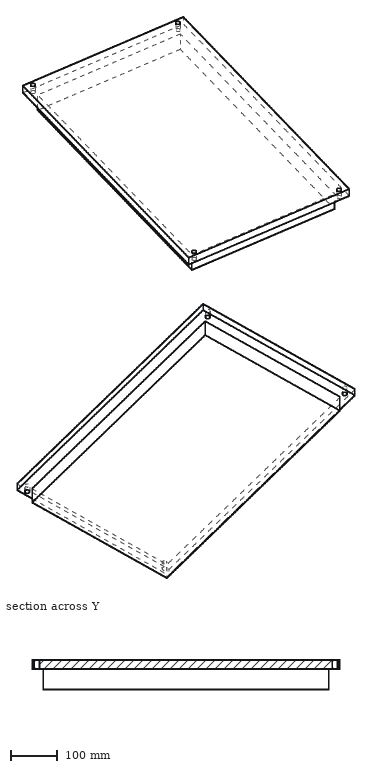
import cadquery as cq

plate_length = 660.0
plate_width = 410.0
plate_thickness = 20.0

total_height = 64.0
body_inset = 23.0
body_length = plate_length - 2 * body_inset
body_width = plate_width - 2 * body_inset
body_height = total_height - plate_thickness

hole_diameter = 10.0
hole_end_margin = 10.0
hole_side_margin = 20.0
hole_spacing_x = plate_length - 2 * hole_end_margin
hole_spacing_y = plate_width - 2 * hole_side_margin


def make_body():
    """Block standing on Z = 0."""
    return cq.Workplane("XY").box(body_length, body_width, body_height, centered=(True, True, False))


def make_plate():
    """Cover plate resting on the body, with a through hole near each corner."""
    return (
        cq.Workplane("XY", origin=(0, 0, body_height))
        .box(plate_length, plate_width, plate_thickness, centered=(True, True, False))
        .faces(">Z")
        .workplane()
        .rect(hole_spacing_x, hole_spacing_y, forConstruction=True)
        .vertices()
        .hole(hole_diameter, plate_thickness)
    )


result = make_body().union(make_plate())